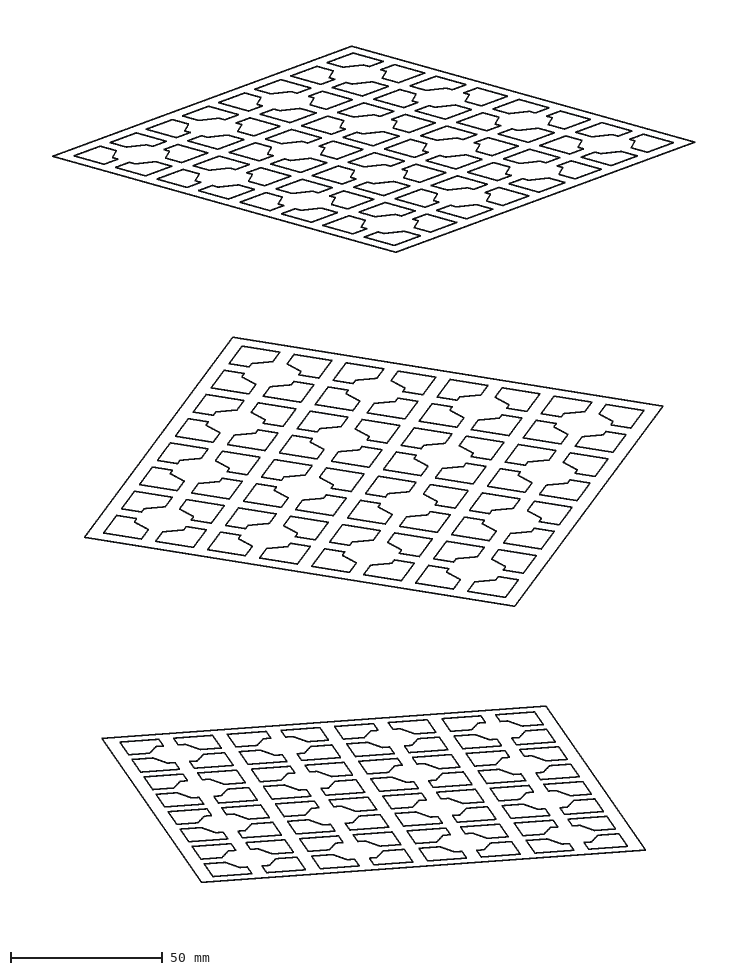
import cadquery as cq

side = 150.0
thickness = 0.2
bar_width = 5.0
pads_per_side = 4
pad_corner_diameter = 20.0

windows_per_side = 2 * pads_per_side
window_pitch = (side - bar_width) / windows_per_side
window_size = window_pitch - bar_width
pad_pitch = 2 * window_pitch


def make_lattice():
    """Square sheet, centred on X and Y, pierced by a grid of square windows."""
    sheet = cq.Workplane("XY").rect(side, side).extrude(thickness)
    windows = (
        cq.Workplane("XY")
        .rarray(window_pitch, window_pitch, windows_per_side, windows_per_side)
        .rect(window_size, window_size)
        .extrude(thickness)
    )
    return sheet.cut(windows)


def make_pads():
    """Regular hexagons with corners pointing along X, flush with the sheet."""
    return (
        cq.Workplane("XY")
        .rarray(pad_pitch, pad_pitch, pads_per_side, pads_per_side)
        .polygon(6, pad_corner_diameter)
        .extrude(thickness)
    )


result = make_lattice().union(make_pads()).clean()